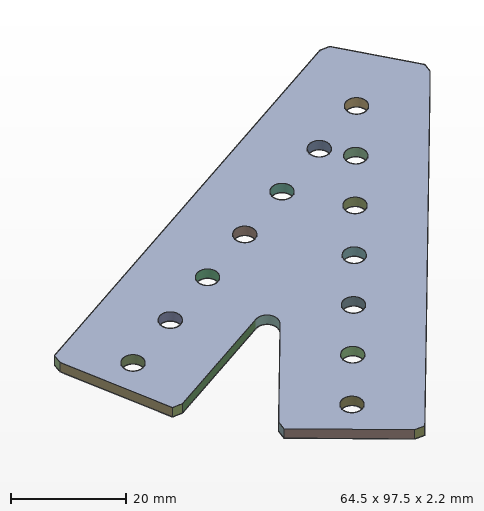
import cadquery as cq
import math

length = 97.5
thickness = 2.2
arm_angle = 30.0
hole_pitch = 12.7
holes_per_arm = 7
hole_diameter = 4.2
crotch_radius = 2.2

corner_short = 1.0
foot_corner_long = 1.8
top_corner_long = 1.5

arm_half_width = hole_pitch
end_margin = hole_pitch / 2
arm_reach = (holes_per_arm - 1) * hole_pitch + end_margin
half_angle = math.radians(arm_angle / 2)

shared_hole = cq.Vector(arm_half_width, arm_reach, 0)

peak_rise = length - arm_reach
top_distance = (
    (peak_rise + corner_short * math.sin(half_angle) - arm_half_width * math.tan(half_angle))
    * math.cos(half_angle) / math.cos(2 * half_angle)
)
top_half_width = (arm_half_width - top_distance * math.sin(half_angle)) / math.cos(half_angle)
crotch_distance = arm_half_width / math.sin(half_angle)

down = cq.Vector(math.sin(half_angle), -math.cos(half_angle), 0)
across = cq.Vector(math.cos(half_angle), math.sin(half_angle), 0)


def symmetric_point(side, distance_across, distance_down):
    """Point beside the symmetry line; side is -1 for the upright arm, 1 for the swung arm."""
    return shared_hole + across * (side * distance_across) + down * distance_down


def arm_point(side, distance_along, distance_outward):
    """Point beside one arm's axis, measured from the shared hole."""
    sine = math.sin(half_angle)
    cosine = math.cos(half_angle)
    return symmetric_point(
        side,
        distance_along * sine + distance_outward * cosine,
        distance_along * cosine - distance_outward * sine,
    )


def cut_corner(start, corner, end, start_leg, end_leg):
    """The two points that replace a sharp corner."""
    return [
        corner + (start - corner).normalized() * start_leg,
        corner + (end - corner).normalized() * end_leg,
    ]


def half_outline(side):
    """Outline of one arm, from the top edge round its foot, stopping short of the crotch."""
    top_middle = symmetric_point(side, 0, -top_distance)
    top = symmetric_point(side, top_half_width, -top_distance)
    outer_foot = arm_point(side, arm_reach, arm_half_width)
    inner_foot = arm_point(side, arm_reach, -arm_half_width)
    return (
        cut_corner(top_middle, top, outer_foot, corner_short, top_corner_long)
        + cut_corner(top, outer_foot, inner_foot, corner_short, foot_corner_long)
        + cut_corner(outer_foot, inner_foot, crotch, corner_short, foot_corner_long)
    )


crotch = symmetric_point(1, 0, crotch_distance)
outline = half_outline(-1) + [crotch] + half_outline(1)[::-1]
plate = cq.Workplane("XY").polyline(outline).close().extrude(thickness)

crotch_edge = cq.selectors.NearestToPointSelector((crotch.x, crotch.y, thickness / 2))
plate = plate.edges("|Z").edges(crotch_edge).fillet(crotch_radius)

hole_centers = [shared_hole]
for side in (-1, 1):
    for step in range(1, holes_per_arm):
        hole_centers.append(arm_point(side, step * hole_pitch, 0))
holes = cq.Workplane("XY").pushPoints(hole_centers).circle(hole_diameter / 2).extrude(thickness)

result = plate.cut(holes)